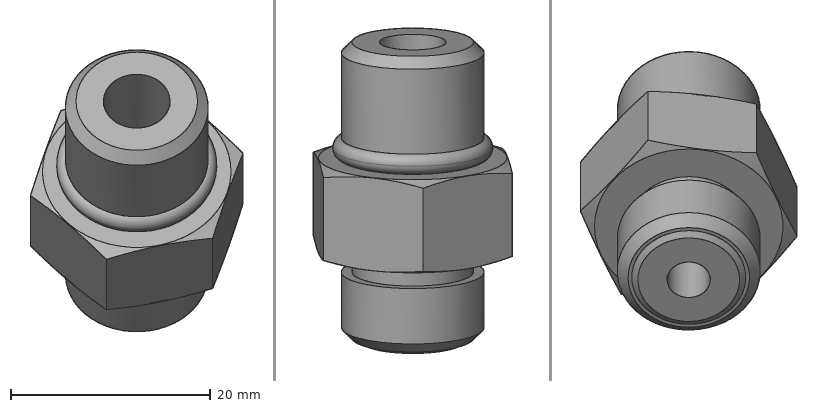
import cadquery as cq
import math

total_length = 30.9
tip_height = 0.4
lower_chamfer_height = 1.08
lower_thread_top = 7.2
hex_bottom = 9.37
hex_top = 18.98

thread_radius = 7.17
end_chamfer = 1.08
relief_radius = 6.1
tip_base_radius = 5.72
tip_end_radius = 5.1

hex_across_flats = 19.05
hex_across_corners = hex_across_flats / math.cos(math.pi / 6)
hex_face_radius = 9.45
corner_drop = 0.53

ring_section_radius = 1.05
ring_outer_radius = 8.05
ring_center_radius = ring_outer_radius - ring_section_radius
ring_level = hex_top + ring_section_radius

bore_radius = 2.15
counterbore_radius = 3.35
counterbore_depth = total_length - hex_top


def make_turned_body():
    """Revolve both threaded ends, the relief groove and the lower tip."""
    chamfer_top = tip_height + lower_chamfer_height
    chamfer_end_radius = thread_radius - end_chamfer
    outline = [
        (0, 0),
        (tip_end_radius, 0),
        (tip_base_radius, tip_height),
        (chamfer_end_radius, tip_height),
        (thread_radius, chamfer_top),
        (thread_radius, lower_thread_top),
        (relief_radius, lower_thread_top),
        (relief_radius, hex_bottom),
        (thread_radius, hex_bottom),
        (thread_radius, total_length - end_chamfer),
        (chamfer_end_radius, total_length),
        (0, total_length),
    ]
    return cq.Workplane("XZ").polyline(outline).close().revolve(360, (0, 0), (0, 1))


def make_hexagon():
    """Extrude the hexagon and trim its corners with a double cone."""
    corner_radius = hex_across_corners / 2
    prism = (
        cq.Workplane("XY", origin=(0, 0, hex_bottom))
        .polygon(6, hex_across_corners)
        .extrude(hex_top - hex_bottom)
        .rotate((0, 0, 0), (0, 0, 1), 30)
    )
    envelope = (
        cq.Workplane("XZ")
        .moveTo(0, hex_bottom)
        .lineTo(hex_face_radius, hex_bottom)
        .lineTo(corner_radius, hex_bottom + corner_drop)
        .lineTo(corner_radius, hex_top - corner_drop)
        .lineTo(hex_face_radius, hex_top)
        .lineTo(0, hex_top)
        .close()
        .revolve(360, (0, 0), (0, 1))
    )
    return prism.intersect(envelope)


def make_sealing_ring():
    """Revolve the round section of the sealing ring."""
    return (
        cq.Workplane("XZ")
        .center(ring_center_radius, ring_level)
        .circle(ring_section_radius)
        .revolve(360, (-ring_center_radius, 0), (-ring_center_radius, 1))
    )


def make_bore():
    """Through bore with a wider bore in the upper end."""
    through = cq.Workplane("XY").circle(bore_radius).extrude(total_length)
    counterbore = (
        cq.Workplane("XY", origin=(0, 0, total_length))
        .circle(counterbore_radius)
        .extrude(-counterbore_depth)
    )
    return through.union(counterbore)


result = make_turned_body().union(make_hexagon()).union(make_sealing_ring()).cut(make_bore())